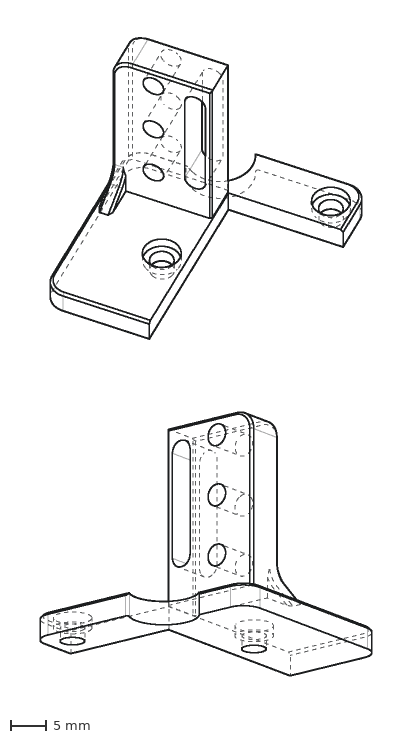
import cadquery as cq
import math

plate_thickness = 3.5
foot_width = 16.5
foot_length = 30.42
arm_end = 34.4
arm_front = 27.65
arm_back = 36.52
corner_radius = 3.0
bevel = 0.4

notch_x = 12.38
notch_y = 33.85
notch_radius = 5.08
notch_tip_radius = 0.33

screw_places = [(12.65, 13.05), (30.5, 32.1)]
screw_diameter = 3.5
head_diameter = 5.5
head_depth = 1.5

wall_left = 0.88
wall_right = 16.4
wall_front = 22.02
wall_back = 28.12
total_height = 29.95

wall_hole_diameter = 3.2
wall_hole_x = 7.3
wall_opening_middle = 18.22
wall_hole_pitch = 9.0
slot_x = 13.8
slot_length = 18.9

rib_width = 2.15
rib_radius = 3.0
rib_slope = math.radians(30)
rib_foot_y = 16.7


def make_foot():
    foot = cq.Workplane("XY").box(foot_width, foot_length, plate_thickness, centered=False)
    foot = foot.edges("|Z and <X").fillet(corner_radius)
    return foot.faces(">Z").edges("not >X").chamfer(bevel)


def make_arm():
    arm = (
        cq.Workplane("XY", origin=(notch_x, arm_front, 0))
        .box(arm_end - notch_x, arm_back - arm_front, plate_thickness, centered=False)
    )
    arm = arm.edges("|Z and >X and >Y").fillet(corner_radius)
    return arm.faces(">Z").edges("not (<X or <Y)").chamfer(bevel)


def make_plate():
    plate = make_foot().union(make_arm())
    notch = cq.Workplane("XY").center(notch_x, notch_y).circle(notch_radius).extrude(plate_thickness)
    plate = plate.cut(notch)
    tip_x = notch_x + math.sqrt(notch_radius ** 2 - (arm_back - notch_y) ** 2)
    tip_edge = cq.selectors.NearestToPointSelector((tip_x, arm_back, plate_thickness / 2))
    plate = plate.edges("|Z").edges(tip_edge).fillet(notch_tip_radius)
    screw_holes = (
        cq.Workplane("XY").pushPoints(screw_places)
        .circle(screw_diameter / 2).extrude(plate_thickness)
    )
    head_recesses = (
        cq.Workplane("XY", origin=(0, 0, plate_thickness - head_depth)).pushPoints(screw_places)
        .circle(head_diameter / 2).extrude(head_depth)
    )
    return plate.cut(screw_holes).cut(head_recesses)


def make_wall():
    wall = (
        cq.Workplane("XY", origin=(wall_left, wall_front, 0))
        .box(foot_width - wall_left, wall_back - wall_front, total_height, centered=False)
    )
    wall = wall.edges("|Y and <X and >Z").fillet(corner_radius)
    wall = wall.faces("<Y or >Y").edges("not <Z").chamfer(bevel)
    trim = (
        cq.Workplane("XY", origin=(wall_right, wall_front, 0))
        .box(foot_width - wall_right, wall_back - wall_front, total_height, centered=False)
    )
    return wall.cut(trim)


def make_rib():
    arc_turn = math.pi / 2 - rib_slope
    arc_foot_y = wall_front - rib_radius * (1 - math.cos(arc_turn))
    arc_foot_z = plate_thickness + (arc_foot_y - rib_foot_y) * math.tan(rib_slope)
    arc_top_z = arc_foot_z + rib_radius * math.sin(arc_turn)
    arc_middle = (
        wall_front - rib_radius * (1 - math.cos(arc_turn / 2)),
        arc_top_z - rib_radius * math.sin(arc_turn / 2),
    )
    rib_top_z = total_height / 2
    rib_inner_y = (wall_front + wall_back) / 2
    buried_depth = plate_thickness / 2
    tip_y = rib_foot_y - buried_depth / math.tan(rib_slope)
    rib = (
        cq.Workplane("YZ", origin=(wall_left, 0, 0))
        .moveTo(tip_y, plate_thickness - buried_depth)
        .lineTo(arc_foot_y, arc_foot_z)
        .threePointArc(arc_middle, (wall_front, arc_top_z))
        .lineTo(wall_front, rib_top_z)
        .lineTo(rib_inner_y, rib_top_z)
        .lineTo(rib_inner_y, plate_thickness - buried_depth)
        .close()
        .extrude(rib_width)
    )
    return rib.faces("<X or >X").edges("not (>Y or <Z or >Z)").chamfer(bevel)


def make_wall_openings():
    on_wall = cq.Workplane("XZ", origin=(0, wall_back, wall_opening_middle))
    thickness = wall_back - wall_front
    holes = (
        on_wall.pushPoints([(wall_hole_x, step * wall_hole_pitch) for step in (-1, 0, 1)])
        .circle(wall_hole_diameter / 2).extrude(thickness)
    )
    slot = on_wall.center(slot_x, 0).slot2D(slot_length, wall_hole_diameter, 90).extrude(thickness)
    return holes.union(slot)


result = make_plate().union(make_wall()).union(make_rib()).cut(make_wall_openings())